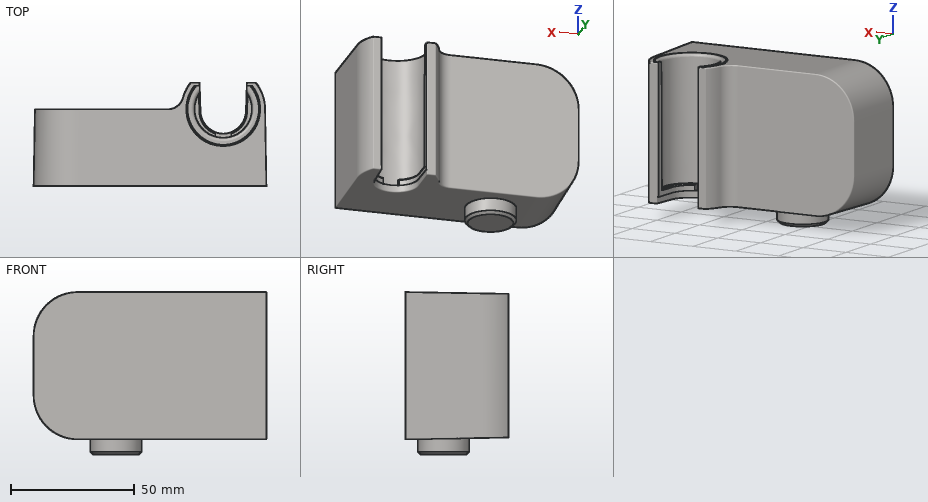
import cadquery as cq
import math

LENGTH = 94.5
DEPTH = 42.0
HEIGHT = 59.8
CORNER_RADIUS = 18.0
DRAFT = 1.0
PLATEAU_Y = 31.2
RIM_FILLET = 0.5
TIP_FILLET = 0.4

CLIP_RADIUS = 17.0
CLIP_Y = 31.2
NECK_RADIUS = 6.1

POCKET_RADIUS = 14.5
POCKET_CHAMFER = 0.6
POCKET_END_Y = 40.65
FLOOR_THICKNESS = 2.8

SLOT_RADIUS = 9.2
SLOT_Y = 30.4
SLOT_MOUTH_HALF_WIDTH = 9.55

LINER_MOUTH_RADIUS = 11.9
LINER_MOUTH_FILLET = 1.1
LINER_SHELF_RADIUS = 11.6
LINER_SHELF_THICKNESS = 2.8
LINER_EDGE_CHAMFER = 0.6
NOTCH_WIDTH = 6.6

STUB_DIAMETER = 21.0
STUB_X = 33.5
STUB_Y = 15.5
STUB_PROTRUSION = 6.1
STUB_INSERTION = 2.8
STUB_CHAMFER = 1.2

DRAFT_ANGLE = math.radians(DRAFT)
HALF_HEIGHT = HEIGHT / 2
CLIP_X = LENGTH - CLIP_Y * math.tan(DRAFT_ANGLE) - CLIP_RADIUS / math.cos(DRAFT_ANGLE)
CLIP_TOP_Z = HALF_HEIGHT - CLIP_Y * math.tan(DRAFT_ANGLE)
FLOOR_Z = -CLIP_TOP_Z + FLOOR_THICKNESS
SHELF_Z = FLOOR_Z + LINER_SHELF_THICKNESS
MARGIN = 4.7


def plan(z):
    """Work plane parallel to XY at height z."""
    return cq.Workplane("XY").workplane(offset=z)


def clip_axis(z):
    """Work plane at height z, centred on the clip axis."""
    return plan(z).center(CLIP_X, CLIP_Y)


def clip_point(radius, angle):
    """Point at a radius and angle (radians) about the clip axis."""
    return (CLIP_X + radius * math.cos(angle), CLIP_Y + radius * math.sin(angle))


def drafted_block():
    """Block with two rounded corners at -X, its walls leaning inwards towards +Y."""
    end_x = LENGTH + MARGIN
    return (
        cq.Workplane("XZ")
        .center(end_x / 2, 0)
        .rect(end_x, HEIGHT)
        .extrude(-DEPTH, taper=DRAFT)
        .faces("<X")
        .edges("not |Z")
        .fillet(CORNER_RADIUS)
    )


def side_profile():
    """Plan outline: plateau, neck blend, the two clip arms and the drafted +X wall."""
    neck_y = PLATEAU_Y + NECK_RADIUS
    neck_distance = CLIP_RADIUS + NECK_RADIUS
    neck_angle = math.pi - math.asin((neck_y - CLIP_Y) / neck_distance)
    neck_x = clip_point(neck_distance, neck_angle)[0]
    neck_middle_angle = (neck_angle - math.pi - math.pi / 2) / 2
    neck_middle = (
        neck_x + NECK_RADIUS * math.cos(neck_middle_angle),
        neck_y + NECK_RADIUS * math.sin(neck_middle_angle),
    )
    tip_angle = math.asin((DEPTH - CLIP_Y) / CLIP_RADIUS)
    return (
        plan(-HALF_HEIGHT)
        .moveTo(-MARGIN, 0)
        .lineTo(-MARGIN, PLATEAU_Y)
        .lineTo(neck_x, PLATEAU_Y)
        .threePointArc(neck_middle, clip_point(CLIP_RADIUS, neck_angle))
        .threePointArc(
            clip_point(CLIP_RADIUS, (neck_angle + math.pi - tip_angle) / 2),
            clip_point(CLIP_RADIUS, math.pi - tip_angle),
        )
        .lineTo(*clip_point(CLIP_RADIUS, tip_angle))
        .threePointArc(
            clip_point(CLIP_RADIUS, (tip_angle + DRAFT_ANGLE) / 2),
            clip_point(CLIP_RADIUS, DRAFT_ANGLE),
        )
        .lineTo(LENGTH, 0)
        .close()
        .extrude(HEIGHT)
    )


def slot():
    """U-shaped opening that flares slightly towards its mouth."""
    return (
        plan(-HALF_HEIGHT)
        .moveTo(CLIP_X - SLOT_RADIUS, SLOT_Y)
        .threePointArc((CLIP_X, SLOT_Y - SLOT_RADIUS), (CLIP_X + SLOT_RADIUS, SLOT_Y))
        .lineTo(CLIP_X + SLOT_MOUTH_HALF_WIDTH, DEPTH)
        .lineTo(CLIP_X - SLOT_MOUTH_HALF_WIDTH, DEPTH)
        .close()
        .extrude(HEIGHT)
    )


def pocket_trim():
    """Large box that keeps everything up to the closed ends of the pocket."""
    size = 2 * LENGTH
    return cq.Workplane("XY").box(size, size, size).translate((CLIP_X, POCKET_END_Y - size / 2, 0))


def liner_blank():
    """Solid cylinder that fills the pocket, ending flush with the drafted top."""
    return (
        clip_axis(FLOOR_Z)
        .circle(POCKET_RADIUS)
        .extrude(HEIGHT)
        .intersect(pocket_trim())
        .intersect(drafted_block())
    )


def pocket_bevel():
    """Funnel that bevels the pocket edge, tilted to follow the drafted top face."""
    funnel = (
        clip_axis(CLIP_TOP_Z - POCKET_CHAMFER)
        .circle(POCKET_RADIUS)
        .workplane(offset=2 * POCKET_CHAMFER)
        .circle(POCKET_RADIUS + 2 * POCKET_CHAMFER)
        .loft()
        .rotate((CLIP_X, CLIP_Y, CLIP_TOP_Z), (CLIP_X + 0.9, CLIP_Y, CLIP_TOP_Z), -DRAFT)
    )
    return funnel.intersect(pocket_trim())


def stub():
    """Round outlet stub seated in a hole in the underside."""
    return (
        plan(-HALF_HEIGHT - STUB_PROTRUSION)
        .center(STUB_X, STUB_Y)
        .circle(STUB_DIAMETER / 2)
        .extrude(STUB_PROTRUSION + STUB_INSERTION)
        .faces("<Z")
        .chamfer(STUB_CHAMFER)
    )


def housing():
    """Drafted block with the clip, its slot and pocket, and the hole for the stub."""
    body = drafted_block().intersect(side_profile())

    rim = cq.selectors.BoxSelector(
        (CORNER_RADIUS + MARGIN, MARGIN, -HEIGHT), (LENGTH + MARGIN, DEPTH + MARGIN, HEIGHT)
    )
    body = body.edges(rim).edges("not |Z").fillet(RIM_FILLET)

    body = body.cut(slot()).cut(liner_blank()).cut(pocket_bevel())

    body = body.faces(">Y").edges("|Z").fillet(TIP_FILLET)
    return body.cut(stub())


def liner_bore():
    """Slightly conical seat, from the shelf up through the top."""
    return (
        clip_axis(SHELF_Z)
        .circle(LINER_SHELF_RADIUS)
        .workplane(offset=HALF_HEIGHT - SHELF_Z)
        .circle(LINER_MOUTH_RADIUS)
        .loft()
    )


def liner_notch():
    """Notch through the liner shelf, at the bottom of the slot."""
    shelf_disc = clip_axis(FLOOR_Z).circle(LINER_SHELF_RADIUS).extrude(HEIGHT)
    return (
        clip_axis(FLOOR_Z)
        .center(0, -LINER_SHELF_RADIUS / 2)
        .rect(NOTCH_WIDTH, LINER_SHELF_RADIUS)
        .extrude(LINER_SHELF_THICKNESS)
        .intersect(shelf_disc)
    )


def liner():
    """Lining of the pocket: conical seat, shelf with a bevelled and notched slot."""
    body = liner_blank().cut(liner_bore())
    body = body.faces("%CONE").edges("%ELLIPSE").fillet(LINER_MOUTH_FILLET)
    body = body.cut(slot())

    half_width = (SLOT_MOUTH_HALF_WIDTH + LINER_SHELF_RADIUS) / 2
    half_gap = LINER_SHELF_THICKNESS / 2
    shelf_edges = cq.selectors.BoxSelector(
        (CLIP_X - half_width, 0, SHELF_Z - half_gap),
        (CLIP_X + half_width, DEPTH, SHELF_Z + half_gap),
        boundingbox=True,
    )
    body = body.edges(shelf_edges).chamfer(LINER_EDGE_CHAMFER)
    return body.cut(liner_notch())


housing_body = housing()
liner_body = liner()
stub_body = stub()

result = cq.Compound.makeCompound(
    [*housing_body.solids().vals(), *liner_body.solids().vals(), *stub_body.solids().vals()]
)